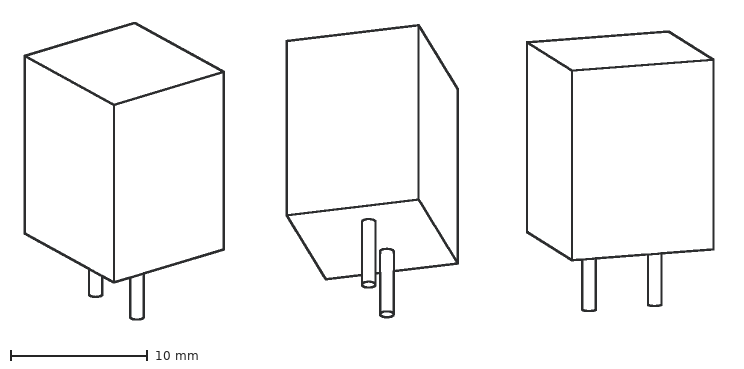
import cadquery as cq

total_height = 19.3
body_width = 10.96
body_depth = 10.0

pin_diameter = 1.0
pin_length = 5.1
pin_pitch = 5.08
first_pin_x = -2.84
pin_y = -0.5

body_height = total_height - pin_length


def make_body():
    """Plain rectangular block standing on the plane Z = 0."""
    return cq.Workplane("XY").box(body_width, body_depth, body_height, centered=(True, True, False))


def make_pin(x):
    """Round pin hanging from the underside of the body."""
    return cq.Workplane("XY").center(x, pin_y).circle(pin_diameter / 2).extrude(-pin_length)


body = make_body()
pins = [make_pin(first_pin_x + i * pin_pitch) for i in range(2)]

result = cq.Compound.makeCompound([body.val(), *[pin.val() for pin in pins]])